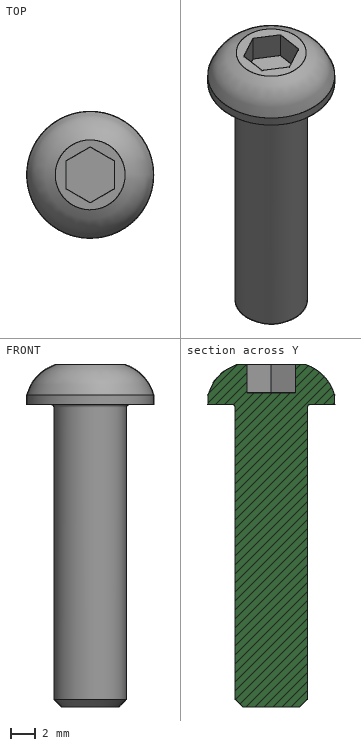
import cadquery as cq
import math

total_length = 28.3
head_diameter = 10.5
head_height = 3.3
shank_diameter = 6.0

rim_height = 0.8
crown_flat_diameter = 5.77
dome_bulge = 0.42
neck_fillet = 0.25

socket_across_flats = 4.0
socket_depth = 2.32
tip_chamfer = 0.65

head_radius = head_diameter / 2
shank_radius = shank_diameter / 2
crown_radius = crown_flat_diameter / 2
shank_length = total_length - head_height


def dome_midpoint():
    """Point on the dome arc, offset outward from the middle of its chord."""
    run = head_radius - crown_radius
    rise = head_height - rim_height
    chord = math.hypot(run, rise)
    return (
        (head_radius + crown_radius) / 2 + dome_bulge * rise / chord,
        (head_height + rim_height) / 2 + dome_bulge * run / chord,
    )


def screw_body():
    """Head and shank, revolved about Z with the underside of the head at Z = 0."""
    neck_arc_offset = neck_fillet * (1 - math.sqrt(0.5))
    return (
        cq.Workplane("XZ")
        .moveTo(0, -shank_length)
        .lineTo(shank_radius - tip_chamfer, -shank_length)
        .lineTo(shank_radius, -shank_length + tip_chamfer)
        .lineTo(shank_radius, -neck_fillet)
        .threePointArc(
            (shank_radius + neck_arc_offset, -neck_arc_offset),
            (shank_radius + neck_fillet, 0),
        )
        .lineTo(head_radius, 0)
        .lineTo(head_radius, rim_height)
        .threePointArc(dome_midpoint(), (crown_radius, head_height))
        .lineTo(0, head_height)
        .close()
        .revolve(360, (0, 0, 0), (0, 1, 0))
    )


def hex_socket():
    """Blind hexagonal socket with two corners on the Y axis."""
    across_corners = socket_across_flats / math.cos(math.pi / 6)
    return (
        cq.Workplane("XY", origin=(0, 0, head_height - socket_depth))
        .transformed(rotate=(0, 0, 90))
        .polygon(6, across_corners)
        .extrude(socket_depth)
    )


result = screw_body().cut(hex_socket())